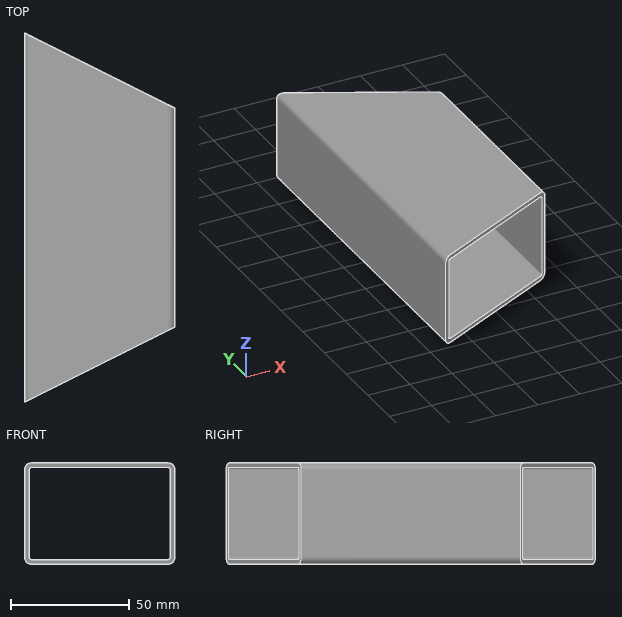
import cadquery as cq

width = 63.5
height = 42.9
long_side = 156.0
short_side = 92.5
wall = 2.0
outer_radius = 3.0
inner_radius = outer_radius - wall


def rounded_bar(bar_width, bar_height, corner_radius):
    """Bar along Y with rounded long edges, centred on the origin."""
    bar = cq.Workplane("XY").box(bar_width, long_side, bar_height)
    return bar.edges("|Y").fillet(corner_radius)


def mitre_envelope():
    """Trapezoidal prism whose sloping sides are the mitred end planes."""
    plan = [
        (-width / 2, -long_side / 2),
        (width / 2, -short_side / 2),
        (width / 2, short_side / 2),
        (-width / 2, long_side / 2),
    ]
    return cq.Workplane("XY").polyline(plan).close().extrude(height / 2, both=True)


outer = rounded_bar(width, height, outer_radius)
bore = rounded_bar(width - 2 * wall, height - 2 * wall, inner_radius)
result = outer.cut(bore).intersect(mitre_envelope())